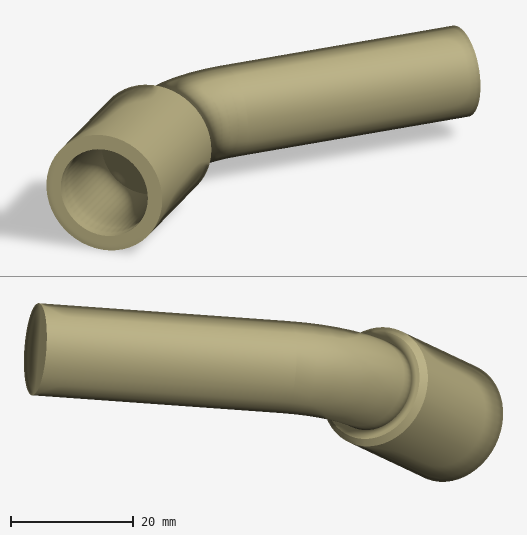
import cadquery as cq
import math

socket_diameter = 20.0
socket_length = 25.0
socket_chamfer = 1.0
bore_diameter = 15.0
bore_depth = 20.0

tube_diameter = bore_diameter
bend_radius = 23.0
bend_angle = 45
overall_length = 76.3

angle = math.radians(bend_angle)
bend_start_y = socket_length
bend_end_y = bend_start_y + bend_radius * math.sin(angle)
tube_end_y = overall_length - tube_diameter / 2 * math.sin(angle)
straight_length = (tube_end_y - bend_end_y) / math.cos(angle)


def circle_across_y(diameter, y):
    """Circular section centred on the Y axis, facing +Y."""
    plane = cq.Plane(origin=(0, y, 0), xDir=(1, 0, 0), normal=(0, 1, 0))
    return cq.Workplane(plane).circle(diameter / 2)


def point_on_bend(turn):
    """Point on the bend centreline after turning by the given angle."""
    return (
        bend_radius * (1 - math.cos(turn)),
        bend_start_y + bend_radius * math.sin(turn),
    )


def make_socket():
    body = circle_across_y(socket_diameter, 0).extrude(socket_length)
    return body.faces(">Y").chamfer(socket_chamfer)


def make_tube():
    bend_end = point_on_bend(angle)
    tube_end = (
        bend_end[0] + straight_length * math.sin(angle),
        bend_end[1] + straight_length * math.cos(angle),
    )
    centreline = (
        cq.Workplane("XY")
        .moveTo(0, bore_depth)
        .lineTo(0, bend_start_y)
        .threePointArc(point_on_bend(angle / 2), bend_end)
        .lineTo(*tube_end)
    )
    return circle_across_y(tube_diameter, bore_depth).sweep(centreline)


bore = circle_across_y(bore_diameter, 0).extrude(bore_depth)
result = make_socket().union(make_tube()).cut(bore)